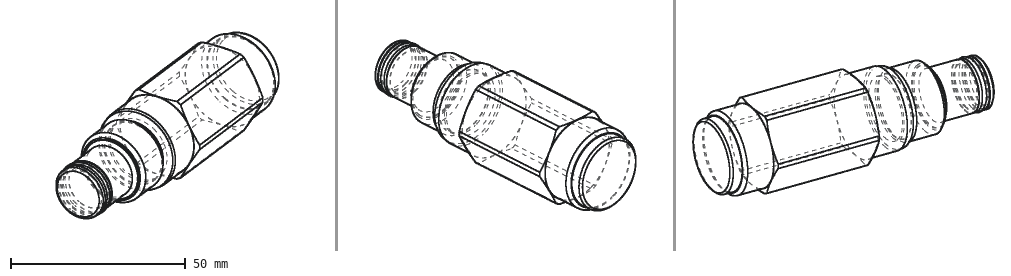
import cadquery as cq
import math


overall_length = 89.4

nose_radius = 8.05
nose_tip_radius = 7.15
nose_tip_chamfer_length = 0.7
nose_collar_radius = 9.3
nose_taper_start = 16.2
nose_collar_start = 17.1

pilot_radius = 11.0
pilot_start = 17.5
pilot_front_chamfer = 1.2
pilot_end = 29.0
pilot_rear_chamfer = 1.2

o_ring_outer_radius = 12.3
o_ring_section_radius = 1.3
o_ring_groove_radius = o_ring_outer_radius - 2 * o_ring_section_radius
shoulder_position = 31.8
o_ring_position = shoulder_position - o_ring_section_radius

barrel_radius = 12.6
barrel_chamfer = 1.1
cap_radius = 11.3
cap_start = 85.8
cap_chamfer = 0.7

hex_across_flats = 25.4
hex_corner_diameter = 28.5
hex_start = 41.6
hex_end = 76.1
hex_chamfer_length = 0.5

seal_position = 3.62
seal_bead_section_radius = 0.8
seal_bead_outer_radius = 8.3
seal_land_radius = 8.0
seal_width = 3.3
seal_side_gap = 0.2
seal_groove_radius = seal_bead_outer_radius - 2 * seal_bead_section_radius
seal_groove_width = seal_width + 2 * seal_side_gap


def turned(profile):
    """Revolve a closed (radius, Y) profile about the Y axis."""
    return profile.close().revolve(360, (0, 0, 0), (0, 1, 0))


def make_turned_core():
    """Stepped core of the body, including both seal grooves."""
    seal_groove_front = seal_position - seal_groove_width / 2
    seal_groove_rear = seal_position + seal_groove_width / 2
    points = [
        (0, 0),
        (nose_tip_radius, 0),
        (nose_radius, nose_tip_chamfer_length),
        (nose_radius, seal_groove_front),
        (seal_groove_radius, seal_groove_front),
        (seal_groove_radius, seal_groove_rear),
        (nose_radius, seal_groove_rear),
        (nose_radius, nose_taper_start),
        (nose_collar_radius, nose_collar_start),
        (nose_collar_radius, pilot_start),
        (pilot_radius - pilot_front_chamfer, pilot_start),
        (pilot_radius, pilot_start + pilot_front_chamfer),
        (pilot_radius, pilot_end - pilot_rear_chamfer),
        (pilot_radius - pilot_rear_chamfer, pilot_end),
        (o_ring_groove_radius, pilot_end),
        (o_ring_groove_radius, shoulder_position),
        (barrel_radius, shoulder_position),
        (barrel_radius, cap_start - barrel_chamfer),
        (barrel_radius - barrel_chamfer, cap_start),
        (cap_radius, cap_start),
        (cap_radius, overall_length - cap_chamfer),
        (cap_radius - cap_chamfer, overall_length),
        (0, overall_length),
    ]
    return turned(cq.Workplane("XY").polyline(points))


def make_hexagon():
    """Hexagon with flats facing +Z and -Z, turned down at its corners and both ends."""
    hex_length = hex_end - hex_start
    corner_to_corner = hex_across_flats / math.cos(math.pi / 6)
    prism = (
        cq.Workplane("XZ", origin=(0, hex_end, 0))
        .polygon(6, corner_to_corner)
        .extrude(hex_length)
    )
    corner_radius = hex_corner_diameter / 2
    end_radius = hex_across_flats / 2
    envelope_points = [
        (0, hex_start),
        (end_radius, hex_start),
        (corner_radius, hex_start + hex_chamfer_length),
        (corner_radius, hex_end - hex_chamfer_length),
        (end_radius, hex_end),
        (0, hex_end),
    ]
    return prism.intersect(turned(cq.Workplane("XY").polyline(envelope_points)))


def make_body():
    return make_turned_core().union(make_hexagon())


def make_ring(outer_radius, section_radius, position):
    """Round-section ring around the Y axis."""
    section = cq.Workplane("XY").center(outer_radius - section_radius, position).circle(section_radius)
    axis_offset = section_radius - outer_radius
    return section.revolve(360, (axis_offset, 0, 0), (axis_offset, 1, 0))


def make_nose_seal():
    """Seal with a round bead standing proud of the flat lands on both sides."""
    land_front = seal_position - seal_width / 2
    land_rear = seal_position + seal_width / 2
    land_points = [
        (seal_groove_radius, land_front),
        (seal_land_radius, land_front),
        (seal_land_radius, land_rear),
        (seal_groove_radius, land_rear),
    ]
    lands = turned(cq.Workplane("XY").polyline(land_points))
    bead = make_ring(seal_bead_outer_radius, seal_bead_section_radius, seal_position)
    return lands.union(bead)


body = make_body()
o_ring = make_ring(o_ring_outer_radius, o_ring_section_radius, o_ring_position)
nose_seal = make_nose_seal()

result = cq.Compound.makeCompound([body.solids().val(), o_ring.val(), nose_seal.solids().val()])